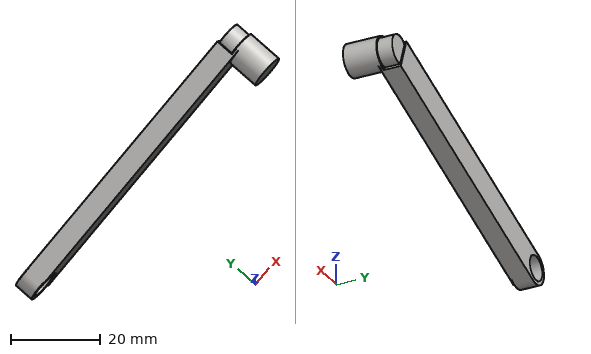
import cadquery as cq
import math

length = 73.85
height = 31.8
depth = 12.5
end_radius = 4.0
arm_thickness = 4.95

bore_radius = 3.0
lug_recess = 0.2

pin_radius = 3.55
pin_back_gap = 0.4
handle_seat_depth = 0.8
front_lip = 0.6
end_setback = 1.5

span_x = length - 2 * end_radius
span_z = height - 2 * end_radius
arm_length = math.hypot(span_x, span_z)
slope = math.degrees(math.atan2(span_z, span_x))
handle_length = depth - arm_thickness


def cylinder_along_y(s, radius, y_start, y_end):
    """Cylinder along Y, centred s along the arm before it is tilted."""
    return cq.Workplane("XY").add(
        cq.Solid.makeCylinder(radius, y_end - y_start, cq.Vector(s, y_start, 0), cq.Vector(0, 1, 0))
    )


def arm_bar(bar_length, y_start, y_end):
    """Rectangular bar starting at the lower axis, as wide as the lug."""
    return cq.Workplane("XY").box(
        bar_length, y_end - y_start, 2 * end_radius, centered=(False, False, True)
    ).translate((0, y_start, 0))


arm = arm_bar(arm_length, 0, front_lip).union(
    arm_bar(arm_length - end_setback, front_lip, arm_thickness)
)

lug = cylinder_along_y(0, end_radius, lug_recess, arm_thickness)
lug_pocket = cylinder_along_y(0, end_radius, 0, lug_recess)
bore = cylinder_along_y(0, bore_radius, 0, arm_thickness)
arm = arm.cut(lug_pocket).union(lug).cut(bore)

handle = cylinder_along_y(arm_length, end_radius, -handle_length, handle_seat_depth)
pin = cylinder_along_y(arm_length, pin_radius, 0, arm_thickness - pin_back_gap)

result = arm.union(handle).union(pin).rotate((0, 0, 0), (0, 1, 0), -slope)